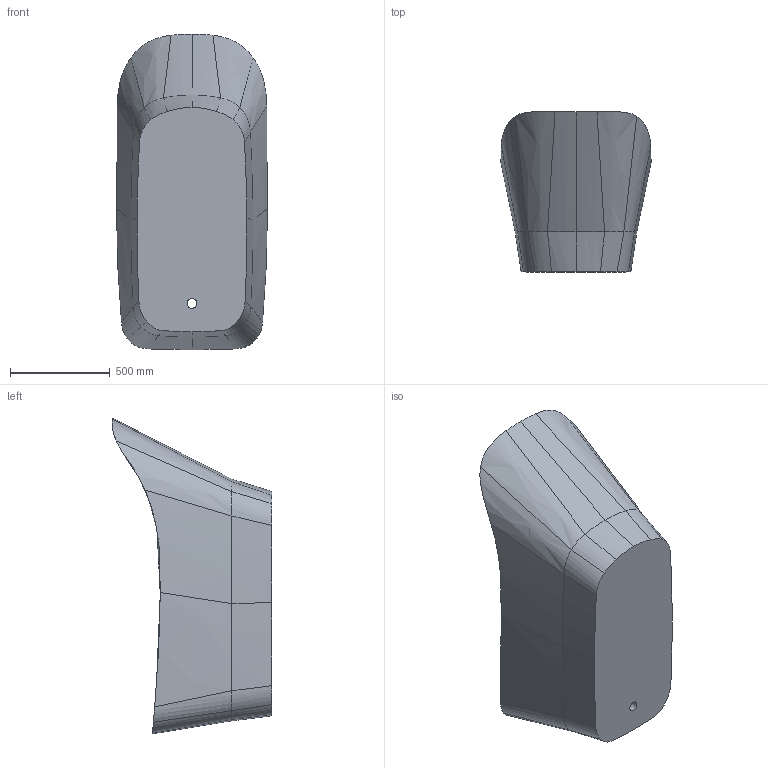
import cadquery as cq

TUB_DEPTH = 799.91
BASE_DEPTH = 200.0
RIM_FOOT_DEPTH = 598.0
RIM_WAIST_DEPTH = 559.0
CROWN_RIM_Z = 1582.43

DRAIN_DIAMETER = 50.0
DRAIN_Z = 233.0

TRIM_MARGIN = 200.0

UNDERSIDE_OUTLINE = [
    (0.0, 90.0),
    (150.0, 97.0),
    (230.0, 146.0),
    (266.0, 241.0),
    (275.0, 658.0),
    (263.0, 1045.0),
    (206.0, 1154.0),
    (123.0, 1195.0),
    (0.0, 1215.0),
]
SEAM_OUTLINE = [
    (0.0, 65.0),
    (168.0, 72.0),
    (254.0, 116.0),
    (294.0, 216.0),
    (305.0, 653.0),
    (292.0, 1092.0),
    (240.0, 1214.0),
    (143.0, 1263.0),
    (0.0, 1277.0),
]
TOP_OUTLINE = [
    (0.0, -33.0),
    (244.0, -30.0),
    (364.0, 28.0),
    (386.0, 90.0),
    (428.0, 745.0),
    (406.0, 1271.0),
    (307.0, 1477.0),
    (105.0, 1577.0),
    (0.0, CROWN_RIM_Z),
]

RIM_CURVE = [
    (RIM_FOOT_DEPTH, 0.0),
    (570.0, 371.0),
    (RIM_WAIST_DEPTH, 700.0),
    (575.0, 1018.0),
    (617.0, 1177.0),
    (668.0, 1290.0),
    (738.0, 1396.0),
    (788.0, 1490.0),
    (TUB_DEPTH, CROWN_RIM_Z),
]


def circle_tangent(before, point, after):
    """Direction at a point of the circle through it and its two neighbours."""
    arriving = point - before
    leaving = after - point
    return (arriving.normalized() * leaving.Length + leaving.normalized() * arriving.Length).normalized()


def arc_end_tangent(start, start_tangent, end):
    """Direction in which an arc that leaves start along start_tangent reaches end."""
    chord = (end - start).normalized()
    return chord * (2 * start_tangent.dot(chord)) - start_tangent


def half_edges(half_outline, depth):
    """Smooth edges of the right half, in the plane Y = depth."""
    (
        foot_centre, foot_end, heel,
        flank_low, flank_middle, flank_high,
        shoulder, crown_end, crown_centre,
    ) = [cq.Vector(x, depth, z) for x, z in half_outline]

    outward = cq.Vector(1, 0, 0)
    up_flank = circle_tangent(flank_low, flank_middle, flank_high)
    down_flank = up_flank * -1
    foot_end_tangent = arc_end_tangent(foot_centre, outward, foot_end)
    heel_tangent = circle_tangent(foot_end, heel, flank_low)
    flank_low_tangent = arc_end_tangent(flank_middle, down_flank, flank_low) * -1
    flank_high_tangent = arc_end_tangent(flank_middle, up_flank, flank_high)
    shoulder_tangent = circle_tangent(flank_high, shoulder, crown_end)
    crown_end_tangent = arc_end_tangent(crown_centre, outward, crown_end) * -1

    return [
        cq.Edge.makeTangentArc(foot_centre, outward, foot_end),
        cq.Edge.makeSpline([foot_end, heel], tangents=[foot_end_tangent, heel_tangent]),
        cq.Edge.makeSpline([heel, flank_low], tangents=[heel_tangent, flank_low_tangent]),
        cq.Edge.makeTangentArc(flank_middle, down_flank, flank_low),
        cq.Edge.makeTangentArc(flank_middle, up_flank, flank_high),
        cq.Edge.makeSpline([flank_high, shoulder], tangents=[flank_high_tangent, shoulder_tangent]),
        cq.Edge.makeSpline([shoulder, crown_end], tangents=[shoulder_tangent, crown_end_tangent]),
        cq.Edge.makeTangentArc(crown_centre, outward, crown_end),
    ]


def section_wire(half_outline, depth):
    """Closed smooth outline, mirrored about X = 0, lying in the plane Y = depth."""
    right_half = half_edges(half_outline, depth)
    left_half = [edge.mirror("YZ") for edge in reversed(right_half)]
    return cq.Wire.assembleEdges(right_half + left_half)


def tapered_body(lower_outline, lower_depth, upper_outline, upper_depth):
    """Body with straight walls between two cross-sections."""
    wires = [section_wire(lower_outline, lower_depth), section_wire(upper_outline, upper_depth)]
    return cq.Workplane(cq.Solid.makeLoft(wires, True))


def rim_trim_tool():
    """Everything beyond the swept rim curve, straight across the body along X."""
    half_width = max(x for x, _ in TOP_OUTLINE) + TRIM_MARGIN
    beyond = TUB_DEPTH + TRIM_MARGIN
    foot_end = -TRIM_MARGIN
    return (
        cq.Workplane("YZ")
        .moveTo(RIM_FOOT_DEPTH, foot_end)
        .lineTo(*RIM_CURVE[0])
        .spline(RIM_CURVE[1:], includeCurrent=True)
        .lineTo(beyond, CROWN_RIM_Z)
        .lineTo(beyond, foot_end)
        .close()
        .extrude(half_width, both=True)
    )


def drain_tool():
    """Straight bore along Y through both bodies."""
    return (
        cq.Workplane("XZ")
        .center(0, DRAIN_Z)
        .circle(DRAIN_DIAMETER / 2)
        .extrude(-TUB_DEPTH)
    )


base = tapered_body(UNDERSIDE_OUTLINE, 0.0, SEAM_OUTLINE, BASE_DEPTH).cut(drain_tool())

tub = (
    tapered_body(SEAM_OUTLINE, BASE_DEPTH, TOP_OUTLINE, TUB_DEPTH)
    .cut(rim_trim_tool())
    .cut(drain_tool())
)

result = cq.Compound.makeCompound([base.val(), tub.val()])